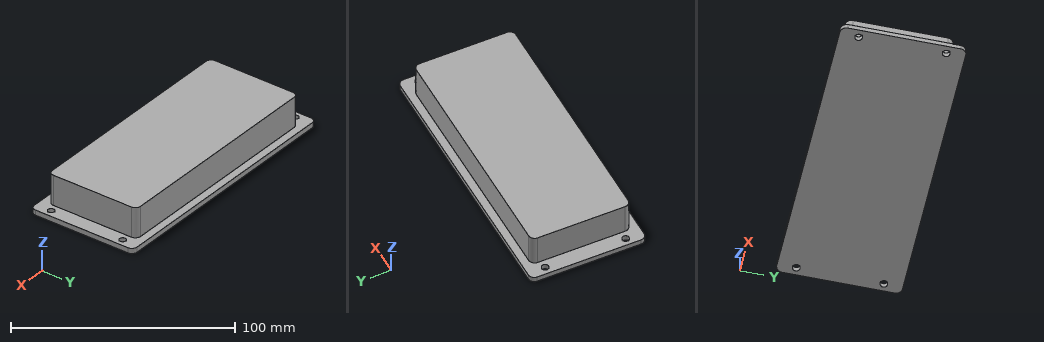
import cadquery as cq

plate_length = 135.2
plate_width = 57.6
plate_thickness = 2.8

block_length = 119.4
block_width = 49.5
total_height = 18.8
block_height = total_height - plate_thickness

corner_radius = 3.0

hole_diameter = 3.4
hole_spacing_x = 127.5
hole_spacing_y = 40.0


def rounded_slab(length, width, height, bottom):
    """Box centred on the Z axis with rounded vertical corners."""
    slab = cq.Workplane("XY").workplane(offset=bottom).rect(length, width).extrude(height)
    return slab.edges("|Z").fillet(corner_radius)


plate = rounded_slab(plate_length, plate_width, plate_thickness, 0)
block = rounded_slab(block_length, block_width, block_height, plate_thickness)

holes = (
    cq.Workplane("XY")
    .rect(hole_spacing_x, hole_spacing_y, forConstruction=True)
    .vertices()
    .circle(hole_diameter / 2)
    .extrude(plate_thickness)
)

result = plate.union(block).cut(holes)